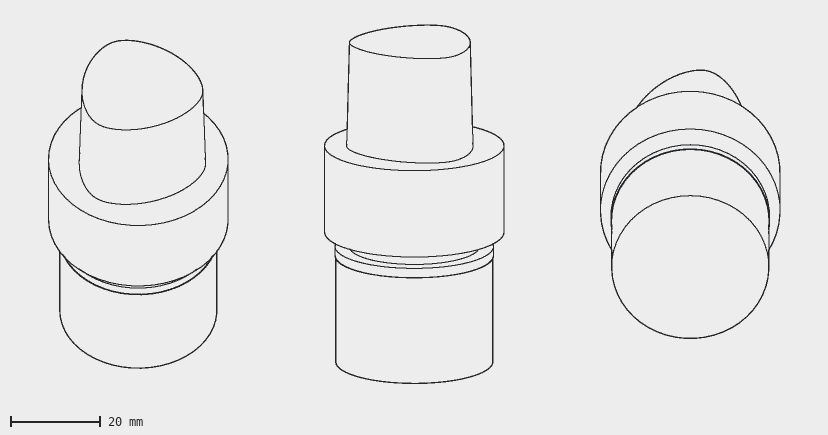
import cadquery as cq
import math

BODY_DIAMETER = 35.0
BODY_LENGTH = 24.5
COLLAR_DIAMETER = 35.3
COLLAR_LENGTH = 2.2
NECK_DIAMETER = 29.0
NECK_LENGTH = 3.3
FLANGE_DIAMETER = 39.98
FLANGE_LENGTH = 20.0
SHANK_LENGTH = 24.0

SHANK_GAUGE_WIDTH = 28.0
SHANK_GAUGE_HEIGHT = 2.5
SHANK_TAPER = 1 / 20
SHANK_BASE_WIDTH = SHANK_GAUGE_WIDTH + SHANK_TAPER * SHANK_GAUGE_HEIGHT
SHANK_TIP_WIDTH = SHANK_BASE_WIDTH - SHANK_TAPER * SHANK_LENGTH
LOBE_COUNT = 3
LOBE_HEIGHT = 1.0
LOBE_DIRECTION = -math.pi / 2
OUTLINE_POINTS = 36


def lobed_point(width, turn):
    """Point of the lobed outline whose outward normal is `turn` revolutions past the -Y lobe."""
    lobe_phase = LOBE_COUNT * 2 * math.pi * turn
    normal_angle = LOBE_DIRECTION + 2 * math.pi * turn
    reach = width / 2 + LOBE_HEIGHT * math.cos(lobe_phase)
    reach_slope = -LOBE_COUNT * LOBE_HEIGHT * math.sin(lobe_phase)
    x = reach * math.cos(normal_angle) - reach_slope * math.sin(normal_angle)
    y = reach * math.sin(normal_angle) + reach_slope * math.cos(normal_angle)
    return x, y


def lobed_outline(width, height):
    """Closed horizontal wire of the lobed shape at the given height."""
    points = [lobed_point(width, index / OUTLINE_POINTS) for index in range(OUTLINE_POINTS)]
    plane = cq.Workplane("XY", origin=(0, 0, height))
    return plane.spline(points, periodic=True).wire().val()


def round_sections():
    """Body, collar, neck and flange stacked upwards from Z = 0, and the height of the stack."""
    sections = [
        (BODY_DIAMETER, BODY_LENGTH),
        (COLLAR_DIAMETER, COLLAR_LENGTH),
        (NECK_DIAMETER, NECK_LENGTH),
        (FLANGE_DIAMETER, FLANGE_LENGTH),
    ]
    stack = cq.Workplane("XY")
    base_height = 0.0
    for diameter, length in sections:
        section = cq.Workplane("XY", origin=(0, 0, base_height)).circle(diameter / 2).extrude(length)
        stack = stack.add(section)
        base_height += length
    return stack.combine(), base_height


def polygon_shank(base_height):
    """Tapered lobed shank standing on the flange."""
    base = lobed_outline(SHANK_BASE_WIDTH, base_height)
    tip = lobed_outline(SHANK_TIP_WIDTH, base_height + SHANK_LENGTH)
    return cq.Workplane(cq.Solid.makeLoft([base, tip], True))


round_body, flange_top = round_sections()
result = cq.Workplane(round_body.union(polygon_shank(flange_top)).solids().val())